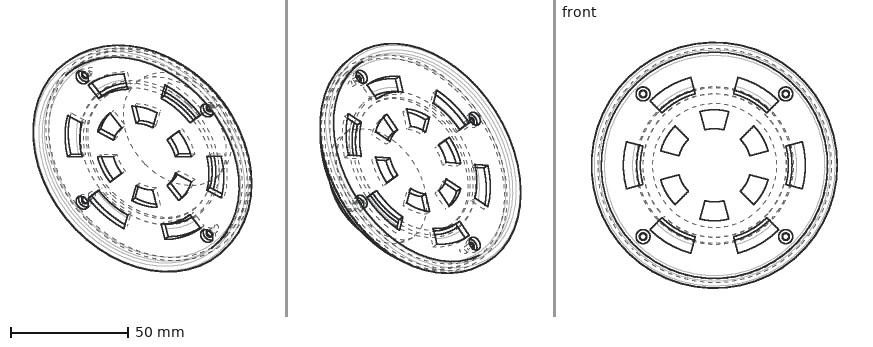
import cadquery as cq
import math

BASE_R = 52.5
BASE_DEPTH = 7.1
FLOOR_DEPTH = 4.3
DISH_R = 48.3
DISH_FLOOR_FILLET = 1.3
DISH_LIP_FILLET = 1.0
FRONT_EDGE_FILLET = 1.0
BACK_R = 50.0
BACK_EDGE_DIRECTION = (-1, 0.3)

WINDOW_COUNT = 6
WINDOW_ANGLE = 30.0
INNER_WINDOW_R = (15.6, 23.7)
OUTER_WINDOW_R = (31.6, 38.9)

SCREW_COUNT = 4
SCREW_CIRCLE_R = 43.1
SCREW_HEAD_D = 6.0
SCREW_HEAD_DEPTH = 2.3
SCREW_CLEARANCE_D = 3.2
SCREW_PILOT_D = 2.7
PILOT_WALL = 2.1

TOTAL_DEPTH = 33.0
DOME_R = 48.5
COLLAR_R = 53.0 / 2
COLLAR_LENGTH = 1.0
SHOULDER_R = 7.6
NECK_R = 12.6
SLOPE_ANGLE = 31.0

CONE_MOUTH_R = 70.0 / 2
CONE_SLOPE = 11.5

RING_R = 32.1
RING_SECTION_R = 1.6


def revolve(profile):
    """Full turn of an XY profile about the Y axis."""
    return profile.revolve(360, (0, 0, 0), (0, 1, 0))


def cylinder(x, z, diameter, start, end):
    """Round bar along Y from start to end."""
    bar = cq.Solid.makeCylinder(diameter / 2, end - start, cq.Vector(x, start, z), cq.Vector(0, 1, 0))
    return cq.Workplane(obj=bar)


def window_cutter(radii, middle_angle):
    """Annular sector through the dish floor, centred on an angle from +X."""
    inner, outer = radii

    def point(radius, angle_offset):
        angle = math.radians(middle_angle + angle_offset)
        return radius * math.cos(angle), radius * math.sin(angle)

    half = WINDOW_ANGLE / 2
    return (
        cq.Workplane("XZ")
        .moveTo(*point(inner, -half))
        .lineTo(*point(outer, -half))
        .threePointArc(point(outer, 0), point(outer, half))
        .lineTo(*point(inner, half))
        .threePointArc(point(inner, 0), point(inner, -half))
        .close()
        .extrude(-BASE_DEPTH)
    )


def screw_places():
    first_angle = 45
    for i in range(SCREW_COUNT):
        angle = math.radians(first_angle + i * 360 / SCREW_COUNT)
        yield SCREW_CIRCLE_R * math.cos(angle), SCREW_CIRCLE_R * math.sin(angle)


def make_base():
    body = revolve(
        cq.Workplane("XY")
        .lineTo(BASE_R - FRONT_EDGE_FILLET, 0)
        .radiusArc((BASE_R, FRONT_EDGE_FILLET), -FRONT_EDGE_FILLET)
        .spline([(BACK_R, BASE_DEPTH)], tangents=[(0, 1), BACK_EDGE_DIRECTION], includeCurrent=True)
        .lineTo(0, BASE_DEPTH)
        .close()
    )

    dish = cylinder(0, 0, 2 * DISH_R, 0, FLOOR_DEPTH).faces(">Y").edges().fillet(DISH_FLOOR_FILLET)
    body = body.cut(dish)
    dish_lip = cq.selectors.RadiusNthSelector(0)
    body = body.faces("<Y").edges(dish_lip).fillet(DISH_LIP_FILLET)

    pitch = 360 / WINDOW_COUNT
    for i in range(WINDOW_COUNT):
        body = body.cut(window_cutter(OUTER_WINDOW_R, i * pitch))
        body = body.cut(window_cutter(INNER_WINDOW_R, (i + 0.5) * pitch))

    for x, z in screw_places():
        body = body.cut(cylinder(x, z, SCREW_CLEARANCE_D, FLOOR_DEPTH, BASE_DEPTH))
        body = body.cut(cylinder(x, z, SCREW_HEAD_D, FLOOR_DEPTH, FLOOR_DEPTH + SCREW_HEAD_DEPTH))
    return body


def dome_blank():
    """Solid dome: an ogee from the wide shoulder, down a straight slope, to the narrow collar."""
    slope = math.radians(SLOPE_ANGLE)
    collar_start = TOTAL_DEPTH - COLLAR_LENGTH
    shoulder_end = (
        DOME_R - SHOULDER_R * (1 - math.sin(slope)),
        BASE_DEPTH + SHOULDER_R * math.cos(slope),
    )
    neck_start = (
        COLLAR_R + NECK_R * (1 - math.sin(slope)),
        collar_start - NECK_R * math.cos(slope),
    )
    along_axis = (0, 1)
    along_slope = (-math.cos(slope), math.sin(slope))
    return revolve(
        cq.Workplane("XY")
        .moveTo(0, BASE_DEPTH)
        .lineTo(DOME_R, BASE_DEPTH)
        .spline(
            [shoulder_end, neck_start, (COLLAR_R, collar_start)],
            tangents=[along_axis, along_slope, along_slope, along_axis],
            includeCurrent=True,
        )
        .lineTo(COLLAR_R, TOTAL_DEPTH)
        .lineTo(0, TOTAL_DEPTH)
        .close()
    )


def make_ring():
    center_depth = BASE_DEPTH + RING_SECTION_R
    return revolve(cq.Workplane("XY").moveTo(RING_R, center_depth).circle(RING_SECTION_R))


def make_dome(ring):
    blank = dome_blank()
    cone_depth = CONE_MOUTH_R * math.tan(math.radians(CONE_SLOPE))
    cone = revolve(
        cq.Workplane("XY")
        .moveTo(0, BASE_DEPTH)
        .lineTo(CONE_MOUTH_R, BASE_DEPTH)
        .lineTo(0, BASE_DEPTH + cone_depth)
        .close()
    )
    body = blank.cut(cone).cut(ring)

    pilot_limit = blank.translate((0, -PILOT_WALL, 0))
    for x, z in screw_places():
        pilot = cylinder(x, z, SCREW_PILOT_D, BASE_DEPTH, TOTAL_DEPTH).intersect(pilot_limit)
        body = body.cut(pilot)
    return body


base = make_base()
ring = make_ring()
dome = make_dome(ring)

result = cq.Compound.makeCompound([base.val(), dome.val(), ring.val()])